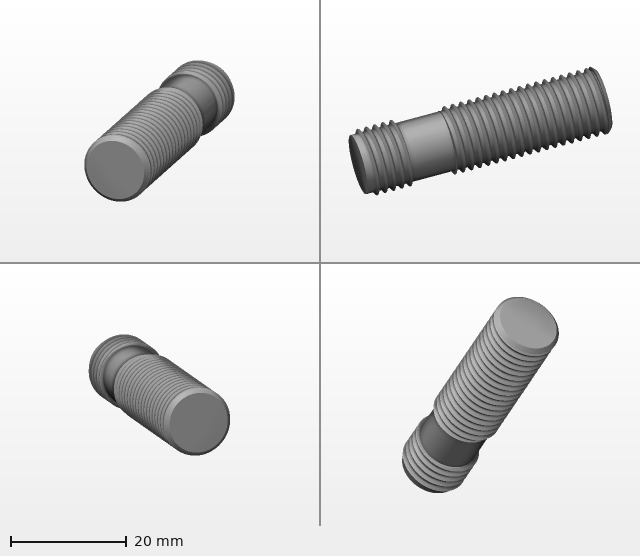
import cadquery as cq


length = 44.5
root_radius = 5.3
crest_radius = 6.0
ridge_height = crest_radius - root_radius
front_chamfer = ridge_height

ridge_base_width = 0.85
ridge_overlap = 0.45
ridge_tilt = 2.1
ridge_side_offset = 0.035

front_thread_start = front_chamfer
front_thread_end = 28.5
front_ridge_first = 1.3
front_ridge_last_full = 27.15
front_ridge_intervals = 17
front_pitch = (front_ridge_last_full - front_ridge_first) / front_ridge_intervals
front_ridge_count = front_ridge_intervals + 2

rear_thread_start = 36.5
rear_ridge_first = 36.75
rear_ridge_last = 42.8
rear_ridge_count = 5
rear_pitch = (rear_ridge_last - rear_ridge_first) / (rear_ridge_count - 1)

cap_thickness = 1.15
cap_front = length - cap_thickness

face_radius = 4.85
face_thickness = 0.9

lens_count = 4
lens_diameter = 2.8
lens_depth = 0.9
lens_y = 33.25


def disc(radius, y_start, y_end):
    """Solid cylinder about the Y axis."""
    return cq.Workplane("XZ", origin=(0, y_start, 0)).circle(radius).extrude(y_start - y_end)


def make_ridge(y_centre, x_centre):
    """V-shaped ring around the barrel, tilted about Z."""
    inner_radius = root_radius - ridge_overlap
    half_base = ridge_base_width / 2 * (ridge_height + ridge_overlap) / ridge_height
    profile = [(inner_radius, -half_base), (crest_radius, 0), (inner_radius, half_base)]
    ring = cq.Workplane("XY").polyline(profile).close().revolve(360, (0, 0, 0), (0, 1, 0))
    tilted = ring.rotate((0, 0, 0), (0, 0, 1), ridge_tilt)
    return tilted.translate((x_centre, y_centre, 0))


def add_thread(barrel, first_y, pitch, count, x_centre, y_start, y_end):
    """Join a row of ridges to the barrel, each cut off at the two ends of the thread."""
    envelope = disc(2 * crest_radius, y_start, y_end)
    for index in range(count):
        ridge = make_ridge(first_y + index * pitch, x_centre)
        barrel = barrel.union(ridge.intersect(envelope))
    return barrel


def make_lenses():
    """Indicator lenses at quarter turns, flush with the barrel."""
    shell = disc(root_radius, 0, length).cut(disc(root_radius - lens_depth, 0, length))
    plug = cq.Workplane("XY", origin=(0, lens_y, 0)).circle(lens_diameter / 2).extrude(crest_radius)
    lens = plug.intersect(shell)
    return [lens.rotate((0, 0, 0), (0, 1, 0), index * 360 / lens_count) for index in range(lens_count)]


def make_housing(sensing_face, lenses):
    """Threaded barrel with a chamfered front lip and seats for the face and the lenses."""
    barrel = disc(root_radius, 0, cap_front)
    lip_profile = [(0, 0), (root_radius, 0), (crest_radius, front_chamfer), (0, front_chamfer)]
    lip = cq.Workplane("XY").polyline(lip_profile).close().revolve(360, (0, 0, 0), (0, 1, 0))
    barrel = barrel.union(lip)
    barrel = add_thread(
        barrel, front_ridge_first, front_pitch, front_ridge_count,
        -ridge_side_offset, front_thread_start, front_thread_end,
    )
    barrel = add_thread(
        barrel, rear_ridge_first, rear_pitch, rear_ridge_count,
        ridge_side_offset, rear_thread_start, cap_front,
    )
    barrel = barrel.cut(sensing_face)
    for lens in lenses:
        barrel = barrel.cut(lens)
    return barrel


sensing_face = disc(face_radius, 0, face_thickness)
rear_cap = disc(root_radius, cap_front, length)
lenses = make_lenses()
housing = make_housing(sensing_face, lenses)

result = cq.Compound.makeCompound(
    [housing.val(), sensing_face.val(), rear_cap.val(), *[lens.val() for lens in lenses]]
)